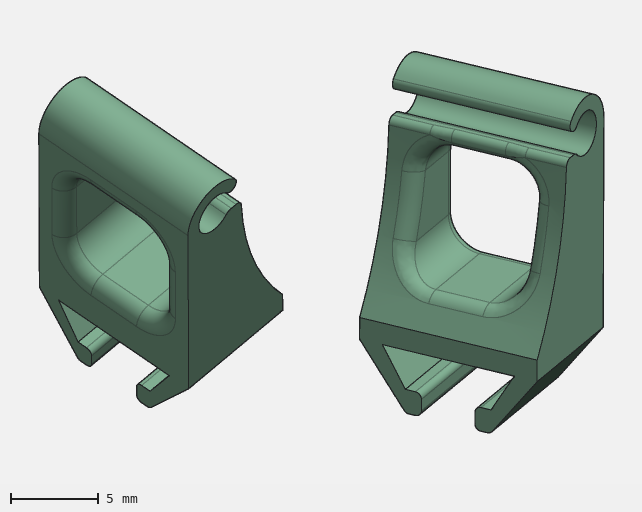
import cadquery as cq
import math

width = 11.5
depth = 8.0
leaning_height = 19.65
body_bottom = 4.0
lean = 0.2

hook_outer_radius = 2.28
hook_inner_radius = 1.35
hook_tip_angle = 49.0
throat_end_angle = 135.0
lip_radius = 0.63
lip_corner_y = 4.52
lip_corner_radius = 0.45
back_curve_bottom = 5.38
back_curve_sag = 0.83

window_width = 7.5
window_height = 8.05
window_center_z = 11.38
window_corner_radius = 2.0
window_edge_radius = 1.0

slot_half_width = 4.26
leg_bend_x = 2.77
foot_inner_x = 1.73
foot_outer_x = 2.73
foot_height = 1.51
foot_corner_radius = 0.4

foot_middle_x = (foot_inner_x + foot_outer_x) / 2
height = leaning_height - (width / 2 + foot_middle_x) * math.sin(math.radians(lean))

hook_center_y = hook_outer_radius
hook_center_z = height - hook_outer_radius


def around_hook(radius, angle):
    """Point (Y, Z) around the hook centre, angle in degrees from +Z towards +Y."""
    turn = math.radians(angle)
    return hook_center_y + radius * math.sin(turn), hook_center_z + radius * math.cos(turn)


def make_body():
    lip_center_y, lip_center_z = around_hook(hook_inner_radius + lip_radius, throat_end_angle)
    lip_top = lip_center_z + lip_radius
    lip_half_turn = math.radians((180 - throat_end_angle) / 2)
    lip_middle = (
        lip_center_y - lip_radius * math.sin(lip_half_turn),
        lip_center_z + lip_radius * math.cos(lip_half_turn),
    )

    tip_mid_radius = (hook_outer_radius + hook_inner_radius) / 2
    tip_radius = (hook_outer_radius - hook_inner_radius) / 2
    tip_y, tip_z = around_hook(tip_mid_radius, hook_tip_angle)
    tip_turn = math.radians(hook_tip_angle)
    tip_end = (tip_y + tip_radius * math.cos(tip_turn), tip_z - tip_radius * math.sin(tip_turn))

    outline = (
        cq.Workplane("YZ")
        .moveTo(0, body_bottom)
        .lineTo(0, hook_center_z)
        .threePointArc(around_hook(hook_outer_radius, 0), around_hook(hook_outer_radius, hook_tip_angle))
        .threePointArc(tip_end, around_hook(hook_inner_radius, hook_tip_angle))
        .threePointArc(
            around_hook(hook_inner_radius, -90),
            around_hook(hook_inner_radius, throat_end_angle),
        )
        .threePointArc(lip_middle, (lip_center_y, lip_top))
        .lineTo(lip_corner_y, lip_top)
        .sagittaArc((depth, back_curve_bottom), -back_curve_sag)
        .lineTo(depth, body_bottom)
        .close()
    )
    return outline.extrude(width / 2, both=True)


def cut_window(body):
    window = (
        cq.Workplane("XZ")
        .center(0, window_center_z)
        .rect(window_width, window_height)
        .extrude(-depth)
        .edges("|Y")
        .fillet(window_corner_radius)
    )
    body = body.cut(window)
    margin = window_edge_radius / 10
    rim_box = cq.selectors.BoxSelector(
        (-window_width / 2 - margin, -margin, window_center_z - window_height / 2 - margin),
        (window_width / 2 + margin, depth + margin, window_center_z + window_height / 2 + margin),
        boundingbox=True,
    )
    return body.edges(rim_box).edges("not |Y").fillet(window_edge_radius)


def round_lip(body):
    lip_corner = cq.selectors.NearestToPointSelector((0, lip_corner_y, hook_center_z))
    return body.edges("|X").edges(lip_corner).fillet(lip_corner_radius)


def make_leg(side):
    """Leg with a rounded foot; side is -1 or 1 along X."""
    points = [
        (width / 2, body_bottom),
        (slot_half_width, body_bottom),
        (leg_bend_x, foot_height),
        (foot_inner_x, foot_height),
        (foot_inner_x, 0),
        (foot_outer_x, 0),
    ]
    leg = cq.Workplane("XZ").polyline([(side * x, z) for x, z in points]).close().extrude(-depth)
    for x, z in points[3:]:
        corner = cq.selectors.NearestToPointSelector((side * x, depth / 2, z))
        leg = leg.edges(corner).fillet(foot_corner_radius)
    return leg


result = round_lip(cut_window(make_body()))
for side in (-1, 1):
    result = result.union(make_leg(side))
result = result.rotate((0, 0, 0), (0, 1, 0), -lean)